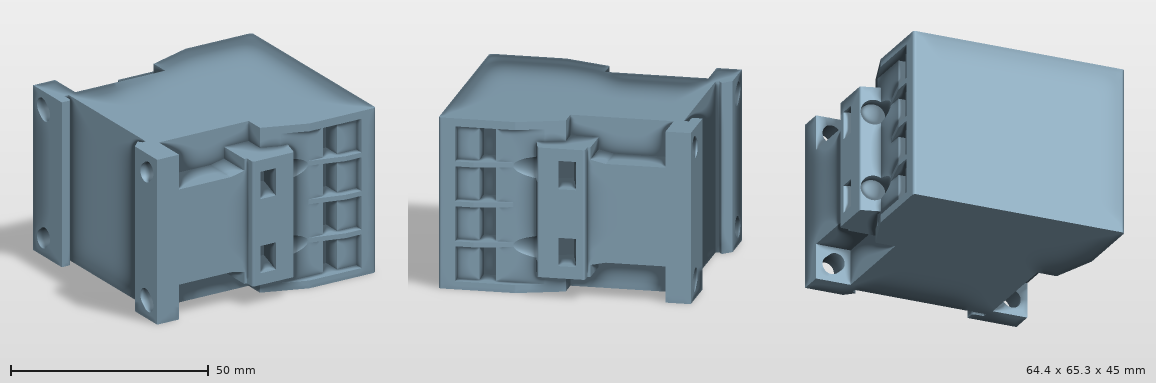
import cadquery as cq
import math

depth = 65.3
height = 45.0
half_width = 29.4
half_height = height / 2
edge_radius = 0.8

foot_depth = 6.5
core_half_width = 19.8
head_start = 33.3
head_start_half_width = 25.2
taper_end = 45.45

channel_floor = 4.1
fixed_lip_top = 2.8
fixed_lip_corner = 19.1
fixed_lip_tip = 15.8
snap_lip_corner = 17.5
snap_lip_top = 3.1
snap_lip_tip = 16.4
snap_lip_tip_height = 2.3
snap_lip_base = 18.8

mount_x = 24.5
mount_z = 17.5
mount_diameter = 4.95
mount_length = 6.5
mount_angle = 40

terminal_half_height = 17.05
terminal_half_width = 32.2
terminal_bottom = 26.8
terminal_shoulder = 39.05
terminal_radius = 0.6
tilt = 15.0

step_bottom = 26.0
ramp_bottom = 22.0
ramp_top_half_height = 13.85
rail_half_height = 13.0

entry_bottom = 29.05
entry_top = 33.6
entry_height = 7.45
entry_z = 10.1
entry_reach = 11.35
screw_spacing = 20.9
screw_middle_z = -0.25
screw_radius = 3.4
screw_start = 46.5
screw_end = 37.2

recess_x = 27.0
recess_top = 61.0
recess_bottom = 37.9
cell_count = 4
cell_height = 9.2
rib_thickness = 1.3
rib_taper_top = 56.3
rib_taper_bottom = 46.5
groove_top = 55.25
groove_bottom = 51.0
groove_depth = 5.2

cell_pitch = cell_height + rib_thickness
recess_height = cell_count * cell_pitch - rib_thickness
tilt_slope = math.tan(math.radians(tilt))


def prism(points, half_length, z=0.0):
    """Extrude an XY outline by half_length to either side of height z."""
    outline = cq.Workplane("XY", origin=(0, 0, z)).polyline(points).close()
    return outline.extrude(half_length, both=True)


def block(x_start, x_end, y_start, y_end, z_height, z=0.0):
    """Make a box between X and Y limits, centred on height z."""
    corners = [(x_start, y_start), (x_end, y_start), (x_end, y_end), (x_start, y_end)]
    return prism(corners, z_height / 2, z)


def both_sides(left):
    """Join a left-hand solid to its mirror image on the right."""
    return left.union(left.mirror("YZ"))


def make_housing():
    """Flared head, narrow core and full-height feet."""
    head = prism(
        [
            (-head_start_half_width, head_start),
            (head_start_half_width, head_start),
            (half_width, taper_end),
            (half_width, depth),
            (-half_width, depth),
            (-half_width, taper_end),
        ],
        half_height,
    )
    margin = edge_radius
    flare_and_back = cq.selectors.BoxSelector(
        (-half_width - margin, taper_end - margin, -margin),
        (half_width + margin, depth + margin, margin),
    )
    head = head.edges("|Z").edges(flare_and_back).fillet(edge_radius)
    core = block(-core_half_width, core_half_width, 0, head_start, height)
    feet = block(-half_width, half_width, 0, foot_depth, height)
    return head.union(core).union(feet)


def make_rail_channel():
    """Channel with a rounded fixed lip on the left and a snap lip on the right."""
    channel = prism(
        [
            (-fixed_lip_tip, 0),
            (-fixed_lip_tip, fixed_lip_top),
            (-fixed_lip_corner, fixed_lip_top),
            (-fixed_lip_corner, channel_floor),
            (snap_lip_corner, channel_floor),
            (snap_lip_corner, snap_lip_top),
            (snap_lip_tip, snap_lip_tip_height),
            (snap_lip_base, 0),
        ],
        half_height,
    )
    lip_edge = cq.selectors.NearestToPointSelector((-fixed_lip_tip, fixed_lip_top, 0))
    return channel.edges("|Z").edges(lip_edge).fillet(edge_radius)


def make_mount_slots():
    """Four short slots through the feet, each pointing towards the centre."""
    slots = cq.Workplane("XY")
    for side_x in (-1, 1):
        for side_z in (-1, 1):
            centre = (side_x * mount_x, 0, side_z * mount_z)
            slot = (
                cq.Workplane("XZ", origin=centre)
                .slot2D(mount_length, mount_diameter, side_x * side_z * mount_angle)
                .extrude(-foot_depth)
            )
            slots = slots.union(slot)
    return slots


def make_side_rail():
    """Lower side body with sloping shoulders, topped by the terminal step."""
    profile = [
        (foot_depth, -rail_half_height),
        (ramp_bottom, -rail_half_height),
        (step_bottom, -ramp_top_half_height),
        (step_bottom, -terminal_half_height),
        (head_start, -terminal_half_height),
        (head_start, terminal_half_height),
        (step_bottom, terminal_half_height),
        (step_bottom, ramp_top_half_height),
        (ramp_bottom, rail_half_height),
        (foot_depth, rail_half_height),
    ]
    outline = cq.Workplane("YZ", origin=(-half_width, 0, 0)).polyline(profile).close()
    return outline.extrude(half_width - core_half_width)


def make_terminal():
    """Projecting terminal block with a tilted upper face."""
    inner_top = terminal_shoulder + (terminal_half_width - core_half_width) * tilt_slope
    terminal = prism(
        [
            (-terminal_half_width, terminal_bottom),
            (-terminal_half_width, terminal_shoulder),
            (-core_half_width, inner_top),
            (-core_half_width, terminal_bottom),
        ],
        terminal_half_height,
    )
    return terminal.edges("|Z and <X").fillet(terminal_radius)


def make_wire_entries():
    """Two tilted rectangular sockets with square ends in the terminal face."""
    axis_x = math.cos(math.radians(tilt))
    axis_y = math.sin(math.radians(tilt))
    upper_reach = entry_reach - (entry_top - entry_bottom) * axis_y
    outline = [
        (-terminal_half_width, entry_bottom),
        (-terminal_half_width + entry_reach * axis_x, entry_bottom + entry_reach * axis_y),
        (-terminal_half_width + upper_reach * axis_x, entry_top + upper_reach * axis_y),
        (-terminal_half_width, entry_top),
    ]
    upper = prism(outline, entry_height / 2, entry_z)
    lower = prism(outline, entry_height / 2, -entry_z)
    return upper.union(lower)


def make_screw_holes():
    """Two tilted round holes that break out of the recess floor and the terminal."""
    direction = cq.Vector(math.sin(math.radians(tilt)), -math.cos(math.radians(tilt)), 0)
    axis_start_x = -recess_x - screw_radius / math.cos(math.radians(tilt))
    length = (screw_start - screw_end) / math.cos(math.radians(tilt))
    holes = cq.Workplane("XY")
    for side in (-1, 1):
        start = cq.Vector(axis_start_x, screw_start, screw_middle_z + side * screw_spacing / 2)
        hole = cq.Solid.makeCylinder(screw_radius, length, start, direction)
        holes = holes.union(cq.Workplane(hole))
    return holes


def make_recess():
    """Side recess with a deeper groove crossing each cell, less the ribs."""
    recess = block(-half_width, -recess_x, recess_bottom, recess_top, recess_height)
    rib_outline = [
        (-recess_x, recess_top),
        (-half_width, recess_top),
        (-half_width, rib_taper_top),
        (-recess_x, rib_taper_bottom),
    ]
    first_cell_z = (cell_height - recess_height) / 2
    for cell in range(cell_count):
        cell_z = first_cell_z + cell * cell_pitch
        groove = block(-recess_x, -recess_x + groove_depth, groove_bottom, groove_top, cell_height, cell_z)
        recess = recess.union(groove)
    for gap in range(cell_count - 1):
        rib_z = first_cell_z + (gap + 0.5) * cell_pitch
        recess = recess.cut(prism(rib_outline, rib_thickness / 2, rib_z))
    return recess


result = make_housing().cut(make_rail_channel()).cut(both_sides(make_recess()))
result = result.union(both_sides(make_side_rail())).union(both_sides(make_terminal()))
result = result.cut(both_sides(make_wire_entries())).cut(both_sides(make_screw_holes()))
result = result.cut(make_mount_slots())